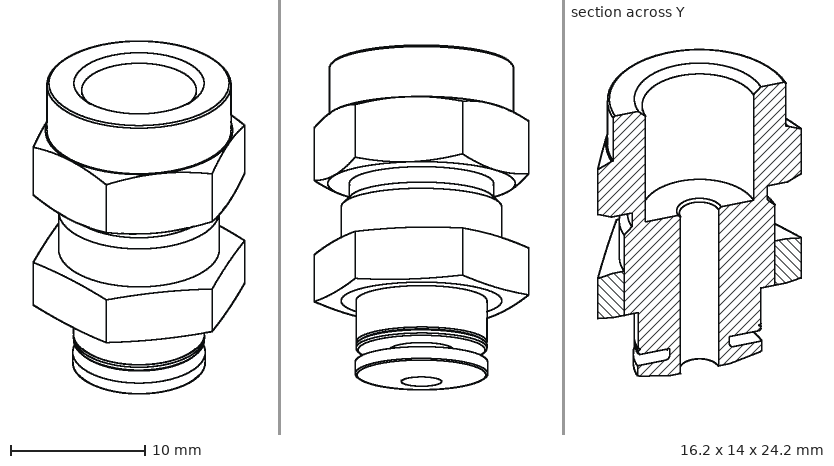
import cadquery as cq
import math

across_corners = 16.17
body_hex_face_diameter = 13.99
nut_face_diameter = 13.8
body_hex_corner_drop = 0.48
nut_corner_drop = 0.2

total_height = 24.2
body_hex_top = 20.2
body_hex_height = 5.0
body_hex_bottom = body_hex_top - body_hex_height
nut_bottom = 6.2
nut_height = 4.0
undercut_end = 14.0
sleeve_bottom = 2.42
button_top = 1.5
button_rim_bottom = 0.6
button_bevel_top = 0.5

collar_diameter = 13.75
undercut_diameter = 10.77
thread_diameter = 12.0
sleeve_diameter = 9.78
stem_diameter = 4.8
button_diameter = 9.9
button_flat_diameter = 4.8

collar_chamfer = 0.15
sleeve_chamfer = 0.15
button_chamfer = 0.15
stem_fillet = 0.31
groove_depth = 0.17
groove_width = 0.22
groove_bottom = sleeve_bottom + 0.39

socket_diameter = 8.57
socket_mouth_diameter = 9.73
socket_depth = 10.0
passage_diameter = 3.0
passage_mouth_diameter = 3.41


def revolve_profile(points):
    """Revolve a closed (radius, height) outline around Z."""
    return cq.Workplane("XZ").polyline(points).close().revolve(360, (0, 0, 0), (0, 1, 0))


def cylinder(diameter, bottom, top):
    return cq.Workplane("XY").workplane(offset=bottom).circle(diameter / 2).extrude(top - bottom)


def chamfered_hexagon(bottom, height, face_diameter, corner_drop):
    """Hexagonal prism with its corners trimmed by a cone at both ends."""
    prism = cq.Workplane("XY").workplane(offset=bottom).polygon(6, across_corners).extrude(height)
    face_radius = face_diameter / 2
    corner_radius = across_corners / 2
    top = bottom + height
    envelope = revolve_profile([
        (0, bottom),
        (face_radius, bottom),
        (corner_radius, bottom + corner_drop),
        (corner_radius, top - corner_drop),
        (face_radius, top),
        (0, top),
    ])
    return prism.intersect(envelope)


def collar():
    blank = cylinder(collar_diameter, body_hex_top, total_height)
    return blank.faces(">Z").edges().chamfer(collar_chamfer)


def threaded_shank():
    """Undercut below the hexagon, then a lead-in cone and the thread down through the nut."""
    undercut_radius = undercut_diameter / 2
    thread_radius = thread_diameter / 2
    cone_height = thread_radius - undercut_radius
    return revolve_profile([
        (0, nut_bottom),
        (thread_radius, nut_bottom),
        (thread_radius, undercut_end - cone_height),
        (undercut_radius, undercut_end),
        (undercut_radius, body_hex_bottom),
        (0, body_hex_bottom),
    ])


def sleeve():
    """Plain end with a chamfered lower edge and a V groove."""
    radius = sleeve_diameter / 2
    return revolve_profile([
        (0, sleeve_bottom),
        (radius - sleeve_chamfer, sleeve_bottom),
        (radius, sleeve_bottom + sleeve_chamfer),
        (radius, groove_bottom),
        (radius - groove_depth, groove_bottom + groove_width / 2),
        (radius, groove_bottom + groove_width),
        (radius, nut_bottom),
        (0, nut_bottom),
    ])


def release_button():
    """Flanged button with a shallow conical underside and a stem filleted onto the flange."""
    rim_radius = button_diameter / 2
    stem_radius = stem_diameter / 2
    fillet_middle = stem_fillet * (1 - math.sqrt(0.5))
    outline = (
        cq.Workplane("XZ")
        .polyline([
            (0, 0),
            (button_flat_diameter / 2, 0),
            (rim_radius - button_chamfer, button_bevel_top),
            (rim_radius, button_rim_bottom),
            (rim_radius, button_top),
            (stem_radius + stem_fillet, button_top),
        ])
        .threePointArc(
            (stem_radius + fillet_middle, button_top + fillet_middle),
            (stem_radius, button_top + stem_fillet),
        )
        .lineTo(stem_radius, sleeve_bottom)
        .lineTo(0, sleeve_bottom)
        .close()
    )
    return outline.revolve(360, (0, 0, 0), (0, 1, 0))


def axial_passage():
    """Countersunk socket from the top, continuing as a narrow hole through the button."""
    socket_radius = socket_diameter / 2
    socket_mouth_radius = socket_mouth_diameter / 2
    passage_radius = passage_diameter / 2
    passage_mouth_radius = passage_mouth_diameter / 2
    socket_floor = total_height - socket_depth
    return revolve_profile([
        (0, 0),
        (passage_radius, 0),
        (passage_radius, socket_floor - (passage_mouth_radius - passage_radius)),
        (passage_mouth_radius, socket_floor),
        (socket_radius, socket_floor),
        (socket_radius, total_height - (socket_mouth_radius - socket_radius)),
        (socket_mouth_radius, total_height),
        (0, total_height),
    ])


def make_fitting():
    body_hexagon = chamfered_hexagon(
        body_hex_bottom, body_hex_height, body_hex_face_diameter, body_hex_corner_drop
    )
    outside = body_hexagon.union(collar()).union(threaded_shank()).union(sleeve()).union(release_button())
    return outside.cut(axial_passage())


def make_nut():
    blank = chamfered_hexagon(nut_bottom, nut_height, nut_face_diameter, nut_corner_drop)
    return blank.cut(cylinder(thread_diameter, nut_bottom, nut_bottom + nut_height))


fitting = make_fitting()
nut = make_nut()
result = cq.Compound.makeCompound([fitting.val(), nut.val()])